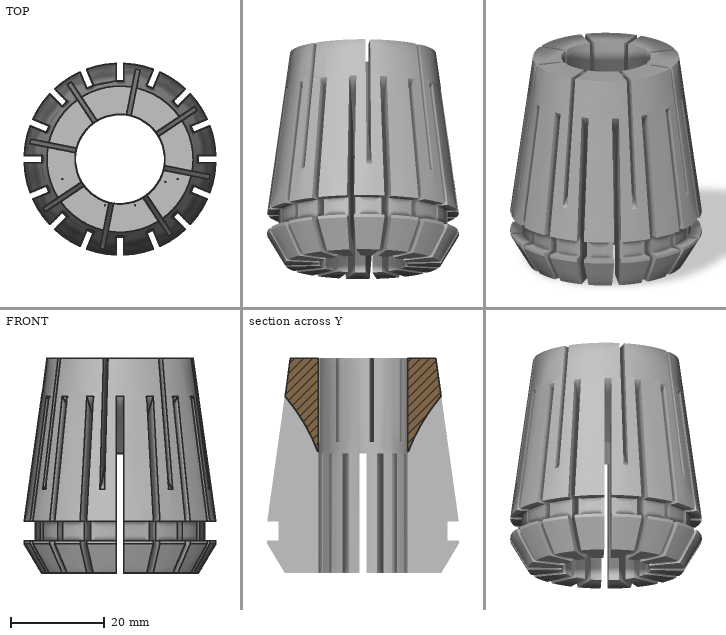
import cadquery as cq

height = 46.0
rim_radius = 20.5
top_radius = 15.65
bottom_radius = 16.75
bore_radius = 9.55

flange_edge_bottom = 6.3
flange_top = 6.95
groove_radius = 18.12
taper_bottom = 11.1

blade_radius = 40.95
overshoot = 2.3

lower_slot_count = 16
lower_slot_width = 1.5
lower_slot_outer_end = 37.9
lower_slot_bore_end = 25.58

upper_slot_count = 8
upper_slot_width = 1.0
upper_slot_outer_end = 18.0
upper_slot_bore_end = 28.05
upper_slot_start_angle = -180.0 / lower_slot_count


def taper_radius(z):
    """Outside radius of the long taper at height z."""
    fraction = (z - taper_bottom) / (height - taper_bottom)
    return rim_radius + fraction * (top_radius - rim_radius)


def slot_cutter(width, outer_end, bore_end, open_end, arc_radius):
    """Radial saw cut along +X, open at open_end and closed by the blade arc."""
    outer_radius = taper_radius(outer_end)
    clear_radius = rim_radius + overshoot
    clear_bore = bore_radius - overshoot
    return (
        cq.Workplane("XZ")
        .moveTo(clear_bore, open_end)
        .lineTo(clear_bore, bore_end)
        .lineTo(bore_radius, bore_end)
        .radiusArc((outer_radius, outer_end), arc_radius)
        .lineTo(clear_radius, outer_end)
        .lineTo(clear_radius, open_end)
        .close()
        .extrude(width / 2, both=True)
    )


def cut_around(body, cutter, count, start_angle):
    """Cut equally spaced copies of the cutter around Z."""
    for index in range(count):
        angle = start_angle + index * 360.0 / count
        body = body.cut(cutter.rotate((0, 0, 0), (0, 0, 1), angle))
    return body


body = (
    cq.Workplane("XZ")
    .moveTo(bore_radius, 0)
    .lineTo(bottom_radius, 0)
    .lineTo(rim_radius, flange_edge_bottom)
    .lineTo(rim_radius, flange_top)
    .lineTo(groove_radius, flange_top)
    .lineTo(groove_radius, taper_bottom)
    .lineTo(rim_radius, taper_bottom)
    .lineTo(top_radius, height)
    .lineTo(bore_radius, height)
    .close()
    .revolve(360, (0, 0, 0), (0, 1, 0))
)

lower_slot = slot_cutter(
    lower_slot_width, lower_slot_outer_end, lower_slot_bore_end, -overshoot, blade_radius
)
body = cut_around(body, lower_slot, lower_slot_count, 0)

upper_slot = slot_cutter(
    upper_slot_width, upper_slot_outer_end, upper_slot_bore_end, height + overshoot, -blade_radius
)
result = cut_around(body, upper_slot, upper_slot_count, upper_slot_start_angle)